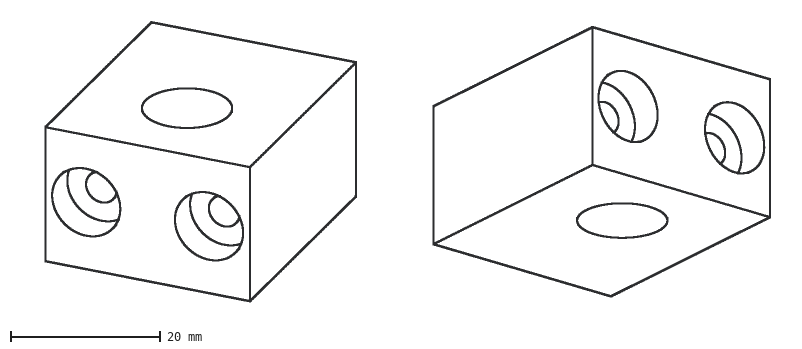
import cadquery as cq

width = 30.0
depth = 35.0
height = 20.0

bore_diameter = 12.1
bore_from_front = 13.0

screw_diameter = 4.5
counterbore_diameter = 10.0
counterbore_depth = 5.0
screw_spacing = 18.0


def make_block():
    return cq.Workplane("XY").box(width, depth, height, centered=(True, False, False))


def cut_bore(body):
    bore = cq.Workplane("XY").center(0, bore_from_front).circle(bore_diameter / 2).extrude(height)
    return body.cut(bore)


def front_cylinder(x, diameter, length):
    """Cylinder going into the block from the front face at mid height."""
    start = cq.Vector(x, 0, height / 2)
    return cq.Solid.makeCylinder(diameter / 2, length, start, cq.Vector(0, 1, 0))


def cut_screw_holes(body):
    for x in (-screw_spacing / 2, screw_spacing / 2):
        body = body.cut(cq.Workplane(front_cylinder(x, screw_diameter, depth)))
        body = body.cut(cq.Workplane(front_cylinder(x, counterbore_diameter, counterbore_depth)))
    return body


result = cut_screw_holes(cut_bore(make_block()))